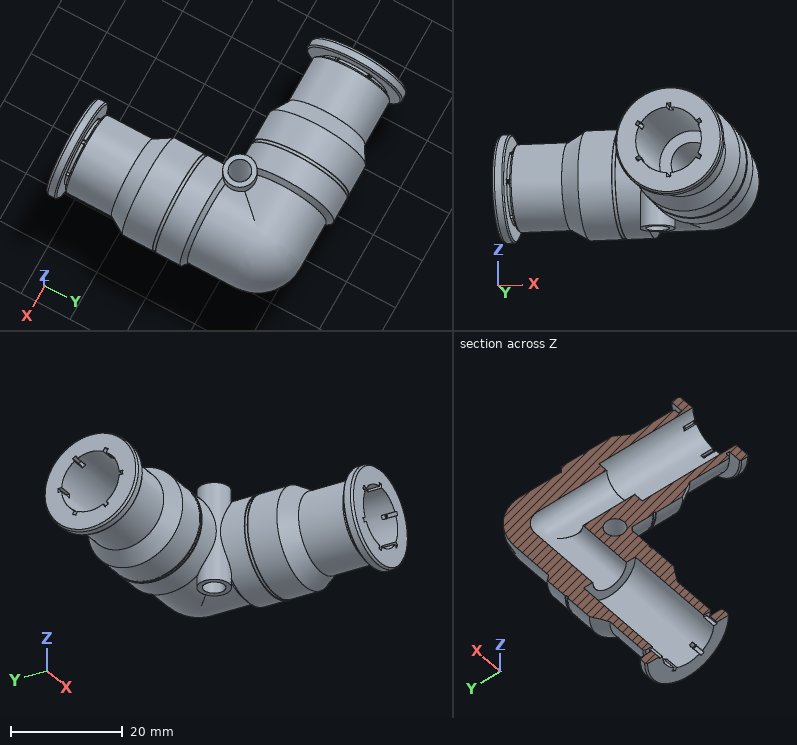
import cadquery as cq

overall_length = 47.8
collar_diameter = 19.8
collar_radius = collar_diameter / 2
arm_length = overall_length - collar_radius

flange_radius = 19.5 / 2
neck_radius = 13.4 / 2
barrel_radius = 15.8 / 2
elbow_radius = 17.7 / 2
groove_depth = 0.2
groove_radius = collar_radius - groove_depth

flange_end = 2.1
barrel_start = 2.8
barrel_end = 12.4
collar_start = 15.75
groove_start = 21.9
groove_end = 22.5
collar_end = 27.55
collar_taper_end = 28.45

flange_front_chamfer_length = 0.5
flange_front_chamfer_depth = 0.3
flange_back_chamfer = 0.3
barrel_chamfer = 0.35

tube_bore_radius = 12.0 / 2
tube_bore_depth = groove_start
passage_radius = 7.8 / 2
slot_count = 6
slot_width = 0.75
slot_outer_radius = 6.75
slot_depth = barrel_start

post_diameter = 6.2
post_hole_diameter = 4.2
post_offset = 8.0
post_height = collar_diameter

ARM_DIRECTIONS = [(-1, 0, 0), (0, -1, 0)]


def end_plane(direction):
    """Plane on an arm's open end, facing the elbow, with local X along Z."""
    origin = tuple(arm_length * part for part in direction)
    normal = tuple(-part for part in direction)
    return cq.Plane(origin=origin, xDir=(0, 0, 1), normal=normal)


def arm_body(plane):
    """Solid stepped arm from its open end to the elbow centre."""
    profile = [
        (0, 0),
        (flange_radius - flange_front_chamfer_depth, 0),
        (flange_radius, flange_front_chamfer_length),
        (flange_radius, flange_end - flange_back_chamfer),
        (flange_radius - flange_back_chamfer, flange_end),
        (neck_radius, flange_end),
        (neck_radius, barrel_start),
        (barrel_radius - barrel_chamfer, barrel_start),
        (barrel_radius, barrel_start + barrel_chamfer),
        (barrel_radius, barrel_end),
        (collar_radius, collar_start),
        (collar_radius, groove_start),
        (groove_radius, groove_start),
        (groove_radius, groove_end),
        (collar_radius, groove_end),
        (collar_radius, collar_end),
        (elbow_radius, collar_taper_end),
        (elbow_radius, arm_length),
        (0, arm_length),
    ]
    profile_plane = cq.Plane(origin=plane.origin, xDir=plane.xDir, normal=plane.xDir.cross(plane.zDir))
    return cq.Workplane(profile_plane).polyline(profile).close().revolve(360, (0, 0), (0, 1))


def arm_bores(plane):
    """Tube socket and the narrower flow passage behind it."""
    socket = cq.Workplane(plane).circle(tube_bore_radius).extrude(tube_bore_depth)
    passage = cq.Workplane(plane).circle(passage_radius).extrude(arm_length)
    return socket.union(passage)


def sleeve_slots(plane):
    """Slots evenly spaced around the socket."""
    first_angle = 90 if abs(plane.zDir.x) > abs(plane.zDir.y) else 0
    return (
        cq.Workplane(plane)
        .polarArray(slot_outer_radius / 2, first_angle, 360, slot_count)
        .rect(slot_outer_radius, slot_width)
        .extrude(slot_depth)
    )


arm_planes = [end_plane(direction) for direction in ARM_DIRECTIONS]

result = cq.Workplane("XY").sphere(elbow_radius)
for arm_plane in arm_planes:
    result = result.union(arm_body(arm_plane))

post_base = cq.Workplane("XY", origin=(-post_offset, -post_offset, -post_height / 2))
result = result.union(post_base.circle(post_diameter / 2).extrude(post_height), clean=False)

result = result.cut(cq.Workplane("XY").sphere(passage_radius))
for arm_plane in arm_planes:
    result = result.cut(arm_bores(arm_plane))
    result = result.cut(sleeve_slots(arm_plane), clean=False)
result = result.cut(post_base.circle(post_hole_diameter / 2).extrude(post_height), clean=False)